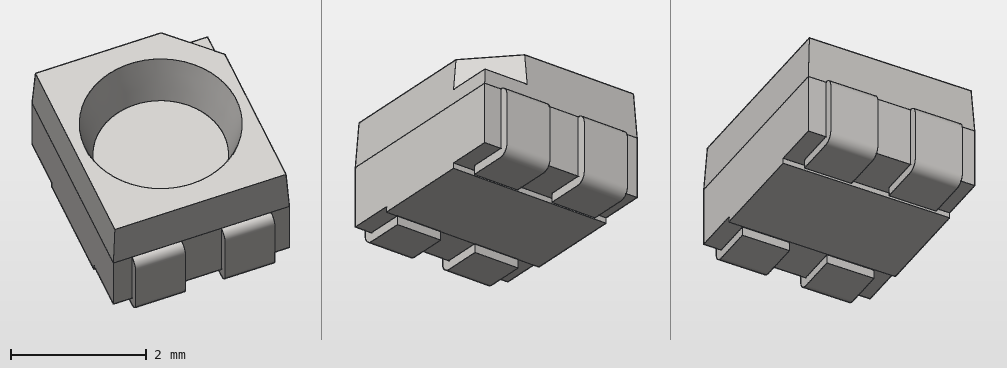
import cadquery as cq
import math

package_length = 3.5
package_width = 2.8
package_height = 1.9

lead_thickness = 0.15
lead_width = 0.79
lead_gap = 0.63
foot_length = 0.8
shoulder_radius = lead_thickness
foot_bend_radius = 0.16
lead_pitch = lead_width + lead_gap

base_length = package_length - 2 * lead_thickness
base_bottom = lead_thickness
boss_length = 1.66
boss_depth = 0.09

reflector_height = 0.75
draft_angle = 3.0
cup_top_diameter = 2.4
cup_floor_diameter = 2.0
corner_cut_leg = 0.8
corner_cut_depth = 0.5

base_top = package_height - reflector_height
reflector_top_inset = reflector_height * math.tan(math.radians(draft_angle))


def make_base():
    """Flat-topped block with a shallow boss between the lead feet."""
    block = (
        cq.Workplane("XY", origin=(0, 0, base_bottom))
        .rect(base_length, package_width)
        .extrude(base_top - base_bottom)
    )
    boss = (
        cq.Workplane("XY", origin=(0, 0, base_bottom))
        .rect(boss_length, package_width)
        .extrude(-boss_depth)
    )
    return block.union(boss)


def make_reflector():
    """Drafted frame with a conical cup through it and one corner cut as a polarity mark."""
    frame = (
        cq.Workplane("XY", origin=(0, 0, base_top))
        .rect(base_length, package_width)
        .workplane(offset=reflector_height)
        .rect(base_length - 2 * reflector_top_inset, package_width - 2 * reflector_top_inset)
        .loft(ruled=True)
    )
    cup = (
        cq.Workplane("XY", origin=(0, 0, base_top))
        .circle(cup_floor_diameter / 2)
        .workplane(offset=reflector_height)
        .circle(cup_top_diameter / 2)
        .loft(ruled=True)
    )
    corner_x = -base_length / 2
    corner_y = package_width / 2
    corner_cut = (
        cq.Workplane("XY", origin=(0, 0, package_height))
        .moveTo(corner_x, corner_y)
        .lineTo(corner_x + corner_cut_leg, corner_y)
        .lineTo(corner_x, corner_y - corner_cut_leg)
        .close()
        .extrude(-corner_cut_depth)
    )
    return frame.cut(cup).cut(corner_cut)


def make_lead(side, center_y):
    """L-shaped lead that hugs the base; side is -1 for the -X end and +1 for the +X end."""
    outer_x = side * package_length / 2
    inner_x = side * base_length / 2
    foot_end_x = side * (package_length / 2 - foot_length)
    profile = (
        cq.Workplane("XZ", origin=(0, center_y, 0))
        .moveTo(inner_x, base_top)
        .lineTo(inner_x, base_bottom)
        .lineTo(foot_end_x, base_bottom)
        .lineTo(foot_end_x, 0)
        .lineTo(outer_x - side * foot_bend_radius, 0)
        .radiusArc((outer_x, foot_bend_radius), -side * foot_bend_radius)
        .lineTo(outer_x, base_top - shoulder_radius)
        .radiusArc((outer_x - side * shoulder_radius, base_top), -side * shoulder_radius)
    )
    return profile.close().extrude(lead_width / 2, both=True)


base = make_base()
reflector = make_reflector()
leads = [
    make_lead(side, row * lead_pitch / 2)
    for side in (-1, 1)
    for row in (-1, 1)
]

result = cq.Compound.makeCompound(
    [base.val(), reflector.val(), *[lead.val() for lead in leads]]
)